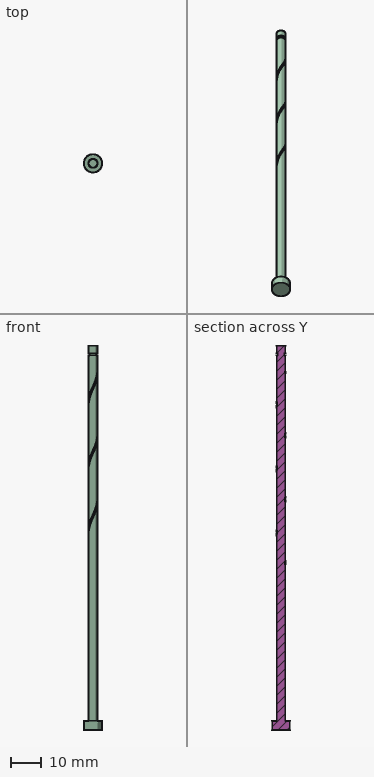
import cadquery as cq

total_length = 125.0
head_diameter = 6.0
head_height = 3.0
shaft_radius = 1.5

tip_height = 2.5
neck_width = 0.7
neck_radius = 1.15

helix_pitch = 20.85
helix_turns = 3
helix_start_z = 54.0
groove_radius = 0.25


def make_pin():
    """Headed pin standing on the XY plane, head at the bottom."""
    head = cq.Workplane("XY").circle(head_diameter / 2).extrude(head_height)
    shaft = cq.Workplane("XY").circle(shaft_radius).extrude(total_length)
    return head.union(shaft)


def make_neck_ring():
    """Ring to be removed so that a narrow neck is left below the tip."""
    neck_bottom_z = total_length - tip_height - neck_width
    return (
        cq.Workplane("XY", origin=(0, 0, neck_bottom_z))
        .circle(shaft_radius)
        .circle(neck_radius)
        .extrude(neck_width)
    )


def make_helical_cutter():
    """Round-section right-handed coil centred on the shaft surface, starting on the +X side."""
    helix = cq.Wire.makeHelix(helix_pitch, helix_pitch * helix_turns, shaft_radius)
    start_tangent = helix.tangentAt(0)
    start_plane = cq.Plane(origin=(shaft_radius, 0, 0), xDir=(1, 0, 0), normal=start_tangent)
    coil = cq.Workplane(start_plane).circle(groove_radius).sweep(cq.Workplane(helix), isFrenet=True)
    return coil.translate((0, 0, helix_start_z))


result = make_pin().cut(make_neck_ring()).cut(make_helical_cutter())